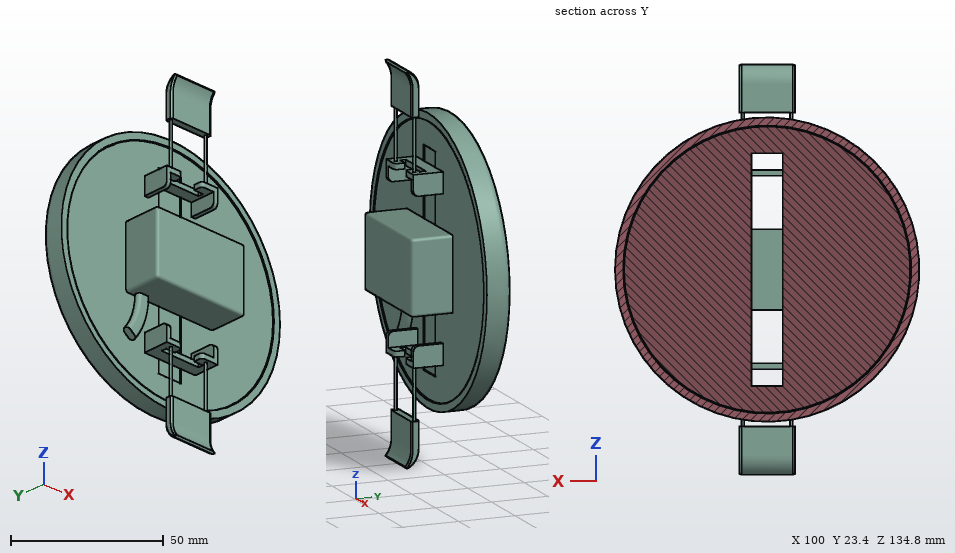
import cadquery as cq
import math


CUP_DIAMETER = 100.0
CUP_DEPTH = 9.0
CUP_EDGE_RADIUS = 2.7
BORE_DIAMETER = 94.5
PLATE_DIAMETER = 94.0
PLATE_THICKNESS = 2.0
PLATE_INSET = 0.4
GUIDE_WIDTH = 10.2
GUIDE_LENGTH = 76.3
GUIDE_DEPTH = 0.5

DRIVER_WIDTH = 40.2
DRIVER_HEIGHT = 26.5
DRIVER_DEPTH = 14.4
DRIVER_EDGE_RADIUS = 1.1
CABLE_X = -14.3
CABLE_WIDTH = 5.1
CABLE_THICKNESS = 2.8
CABLE_BEND_RADIUS = 25.6
CABLE_BEND_ANGLE = 38.5

BRACKET_OUTER_Z = 32.7
BRACKET_WIDTH = 23.2
BRACKET_DEPTH = 10.1
BRACKET_LEG_LENGTH = 7.4
BRACKET_LEG_THICKNESS = 1.8
BRACKET_BAR_THICKNESS = 2.0
BRACKET_CORNER_RADIUS = 1.8
SLOT_WIDTH = 16.7
SLOT_BACK_DEPTH = 4.5
LUG_BACK_DEPTH = 6.5
LUG_GAP = 8.9
LUG_CORNER_RADIUS = 1.3

WIRE_DIAMETER = 1.0
WIRE_SPACING = 15.9
WIRE_Y = -(LUG_BACK_DEPTH + BRACKET_DEPTH) / 2
WIRE_BEND_RADIUS = 1.3

CLIP_END_Z = 67.4
PAD_WIDTH = 18.3
PAD_THICKNESS = 2.8
PAD_START_Z = 51.5
PAD_CURL_Z = 61.2
PAD_TIP_REACH = 4.2
PAD_TIP_THICKNESS = 1.0
PAD_TIP_TILT = 50.0
PAD_BEVEL_DEPTH = 0.4
PAD_BEVEL_WIDTH = 0.8
SPRING_END_Z = (PAD_START_Z + PAD_CURL_Z) / 2


def block_behind_lamp(width, height, near, far, z_center):
    """Box centred on X = 0 that reaches from Y = -near to Y = -far."""
    return cq.Workplane("XY").box(width, far - near, height).translate((0, -(near + far) / 2, z_center))


def disc(diameter, thickness):
    """Disc around the Y axis that reaches from Y = 0 to Y = thickness."""
    return cq.Workplane("XZ").circle(diameter / 2).extrude(-thickness)


def make_cup():
    cup = disc(CUP_DIAMETER, CUP_DEPTH).faces(">Y").edges().fillet(CUP_EDGE_RADIUS)
    return cup.cut(disc(BORE_DIAMETER, PLATE_INSET + PLATE_THICKNESS))


def make_plate():
    plate = disc(PLATE_DIAMETER, PLATE_THICKNESS).translate((0, PLATE_INSET, 0))
    guide_recess = block_behind_lamp(GUIDE_WIDTH, GUIDE_LENGTH, -PLATE_INSET - GUIDE_DEPTH, 0, 0)
    return plate.cut(guide_recess)


def make_cable():
    """Flat cable with round edges lying on the plate, bent sideways in a circular arc."""
    profile = (
        cq.Workplane("XY", origin=(CABLE_X, PLATE_INSET - CABLE_THICKNESS / 2, -DRIVER_HEIGHT / 2))
        .slot2D(CABLE_WIDTH, CABLE_THICKNESS)
    )
    axis_start = (-CABLE_BEND_RADIUS, 0)
    axis_end = (-CABLE_BEND_RADIUS, 1)
    return profile.revolve(CABLE_BEND_ANGLE, axis_start, axis_end)


def make_driver():
    """Driver box and its fixed cable, as one solid."""
    box = block_behind_lamp(DRIVER_WIDTH, DRIVER_HEIGHT, -PLATE_INSET, DRIVER_DEPTH, 0)
    box = box.edges("|Y or <Y").fillet(DRIVER_EDGE_RADIUS)
    return box.union(make_cable())


def make_bracket():
    """Upper bracket: a crossbar with a T-shaped slot, and two legs pointing to the lamp centre."""
    leg_center_z = BRACKET_OUTER_Z - BRACKET_LEG_LENGTH / 2
    bracket = block_behind_lamp(
        BRACKET_WIDTH, BRACKET_LEG_LENGTH, -PLATE_INSET, BRACKET_DEPTH, leg_center_z
    )
    bracket = bracket.edges("|X and <Y and <Z").fillet(BRACKET_CORNER_RADIUS)

    leg_gap = BRACKET_WIDTH - 2 * BRACKET_LEG_THICKNESS
    bar_inner_z = BRACKET_OUTER_Z - BRACKET_BAR_THICKNESS
    leg_space = block_behind_lamp(
        leg_gap, BRACKET_LEG_LENGTH, -PLATE_INSET, BRACKET_DEPTH, bar_inner_z - BRACKET_LEG_LENGTH / 2
    )
    bar_center_z = BRACKET_OUTER_Z - BRACKET_BAR_THICKNESS / 2
    wide_slot = block_behind_lamp(
        SLOT_WIDTH, BRACKET_BAR_THICKNESS, SLOT_BACK_DEPTH, LUG_BACK_DEPTH, bar_center_z
    )
    mouth = block_behind_lamp(LUG_GAP, BRACKET_BAR_THICKNESS, SLOT_BACK_DEPTH, BRACKET_DEPTH, bar_center_z)
    bracket = bracket.cut(leg_space).cut(wide_slot).cut(mouth)

    lug_corners = cq.selectors.BoxSelector(
        (-LUG_GAP, -BRACKET_DEPTH - LUG_CORNER_RADIUS, bar_inner_z),
        (LUG_GAP, -BRACKET_DEPTH + LUG_CORNER_RADIUS, BRACKET_OUTER_Z),
    )
    return bracket.edges("|Z").edges(lug_corners).fillet(LUG_CORNER_RADIUS)


def make_spring():
    """Upper spring: two wire legs on the bracket, joined by a bend inside the pad."""
    leg_x = WIRE_SPACING / 2
    bend_start_z = SPRING_END_Z - WIRE_BEND_RADIUS
    bridge_x = leg_x - WIRE_BEND_RADIUS
    path = (
        cq.Workplane("XZ", origin=(0, WIRE_Y, 0))
        .moveTo(-leg_x, BRACKET_OUTER_Z)
        .lineTo(-leg_x, bend_start_z)
        .tangentArcPoint((-bridge_x, SPRING_END_Z), relative=False)
        .lineTo(bridge_x, SPRING_END_Z)
        .tangentArcPoint((leg_x, bend_start_z), relative=False)
        .lineTo(leg_x, BRACKET_OUTER_Z)
    )
    section = cq.Workplane("XY", origin=(-leg_x, WIRE_Y, BRACKET_OUTER_Z)).circle(WIRE_DIAMETER / 2)
    return section.sweep(path)


def arc_middle(start, end):
    """Middle point of the arc in the YZ plane that leaves `start` along Z and ends at `end`."""
    run = end[0] - start[0]
    rise = end[1] - start[1]
    radius = (run**2 + rise**2) / (2 * abs(run))
    half_angle = math.atan2(abs(run), rise)
    middle_y = start[0] + math.copysign(radius * (1 - math.cos(half_angle)), run)
    return middle_y, start[1] + radius * math.sin(half_angle)


def make_pad(spring):
    """Upper pad: a flat grip that curls to a thinner tip, hollowed to take the spring."""
    front_y = WIRE_Y - PAD_THICKNESS / 2
    rear_y = WIRE_Y + PAD_THICKNESS / 2
    rear_tip_y = rear_y - PAD_TIP_REACH
    tilt = math.radians(PAD_TIP_TILT)
    front_tip_y = rear_tip_y - PAD_TIP_THICKNESS * math.cos(tilt)
    front_tip_z = CLIP_END_Z - PAD_TIP_THICKNESS * math.sin(tilt)
    front_arc_middle = arc_middle((front_y, PAD_CURL_Z), (front_tip_y, front_tip_z))
    pad = (
        cq.Workplane("YZ", origin=(-PAD_WIDTH / 2, 0, 0))
        .moveTo(rear_y, PAD_START_Z)
        .lineTo(rear_y, PAD_CURL_Z)
        .tangentArcPoint((rear_tip_y, CLIP_END_Z), relative=False)
        .lineTo(front_tip_y, front_tip_z)
        .threePointArc(front_arc_middle, (front_y, PAD_CURL_Z))
        .lineTo(front_y, PAD_START_Z)
        .close()
        .extrude(PAD_WIDTH)
    )
    long_edges = pad.faces("<X or >X").edges("|Z or %CIRCLE")
    return long_edges.chamfer(PAD_BEVEL_WIDTH, PAD_BEVEL_DEPTH).cut(spring)


cup = make_cup()
plate = make_plate()
driver = make_driver()
bodies = [cup.val(), plate.val(), driver.val()]

upper_spring = make_spring()
for clip_body in (make_bracket(), upper_spring, make_pad(upper_spring)):
    bodies.append(clip_body.val())
    bodies.append(clip_body.mirror("XY").val())

result = cq.Compound.makeCompound(bodies)